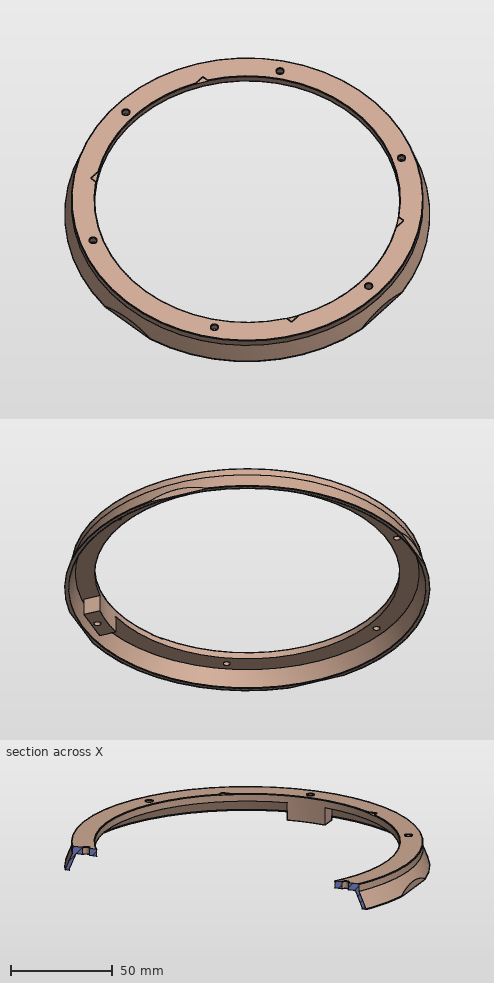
import cadquery as cq

outer_width = 177.0
height = 13.0
bore_diameter = 150.0
rim_diameter = 173.0
skirt_diameter = 179.5
foot_height = 0.5
edge_chamfer = 0.4

flange_thickness = 3.9
skirt_wall = 2.0

hole_diameter = 3.4
hole_count = 6
hole_circle_diameter = 159.7

recess_length = 132.0
recess_width = 82.8
recess_depth = 0.5

block_outer_x = 82.8
block_width = 20.2

bore_radius = bore_diameter / 2
rim_radius = rim_diameter / 2
skirt_radius = skirt_diameter / 2
flange_bottom = height - flange_thickness


def ring_body():
    """Revolve a top flange with a flared skirt, then trim four flats."""
    profile = [
        (bore_radius, flange_bottom),
        (rim_radius - skirt_wall, flange_bottom),
        (skirt_radius - skirt_wall, foot_height),
        (skirt_radius - skirt_wall, 0),
        (skirt_radius, 0),
        (skirt_radius, foot_height),
        (rim_radius, flange_bottom),
        (rim_radius, height - edge_chamfer),
        (rim_radius - edge_chamfer, height),
        (bore_radius + edge_chamfer, height),
        (bore_radius, height - edge_chamfer),
    ]
    ring = cq.Workplane("XZ").polyline(profile).close().revolve(360, (0, 0), (0, 1))
    envelope = cq.Workplane("XY").rect(outer_width, outer_width).extrude(height)
    return ring.intersect(envelope)


def corner_recess():
    """Shallow rectangular pocket sunk into the top face."""
    return (
        cq.Workplane("XY")
        .workplane(offset=height - recess_depth)
        .rect(recess_length, recess_width)
        .extrude(recess_depth)
    )


def screw_holes():
    """Through holes, each with a small chamfer at the top face."""
    hole_radius = hole_diameter / 2
    hole_profile = [
        (0, 0),
        (hole_radius, 0),
        (hole_radius, height - edge_chamfer),
        (hole_radius + edge_chamfer, height),
        (0, height),
    ]
    hole = cq.Workplane("XZ").polyline(hole_profile).close().revolve(360, (0, 0), (0, 1)).val()
    return (
        cq.Workplane("XY")
        .polarArray(hole_circle_diameter / 2, 0, 360, hole_count)
        .eachpoint(lambda location: hole.moved(location))
    )


def flange_block():
    """Block hanging from the flange to the base plane, its inner face flush with the bore."""
    block = (
        cq.Workplane("XY")
        .rect(block_outer_x, block_width)
        .extrude(flange_bottom)
        .translate((block_outer_x / 2, 0, 0))
    )
    bore = cq.Workplane("XY").circle(bore_radius).extrude(flange_bottom)
    return block.cut(bore)


result = ring_body().union(flange_block()).cut(corner_recess()).cut(screw_holes())